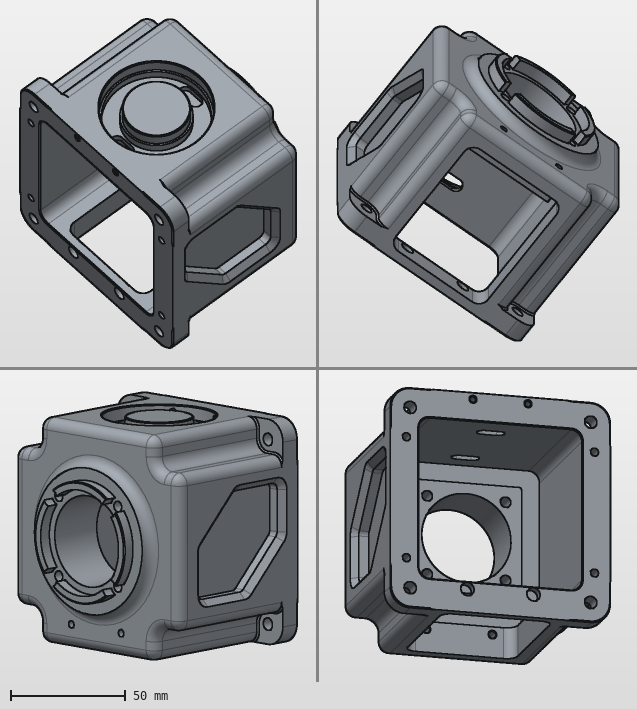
import cadquery as cq
import math

SIZE = 100.0
HALF = SIZE / 2
BODY_DEPTH = 75.0
EDGE_BREAK = 0.5
BEVEL_ANGLE = 45.0

FLANGE_DEPTH = 9.5
FLANGE_CORNER_RADIUS = 9.0
FLANGE_ROOT = 0.8
CLEARANCE_HOLE_DIAMETER = 5.5
CLEARANCE_HOLE_OFFSET = HALF - FLANGE_CORNER_RADIUS
TAPPED_HOLE_DIAMETER = 3.6
TAPPED_HOLE_DEPTH = 10.0
TAPPED_HOLE_X = 42.7
TAPPED_HOLE_Z = 27.5
DRILL_POINT_ANGLE = 118.0

NOTCH_RADIUS = 6.0
BODY_EDGE_RADIUS = 5.0
NOTCH_FLAT = CLEARANCE_HOLE_OFFSET - NOTCH_RADIUS
BACK_EDGE_FILLET = 5.0

CAVITY_HALF_WIDTH = 37.0
CAVITY_CEILING = 37.0
CAVITY_FLOOR = -36.0
CAVITY_DEPTH = 67.0
CAVITY_CORNER_RADIUS = 5.0

PAD_WIDTH = 50.0
PAD_FRONT = 53.5
PAD_CORNER_RADIUS = 1.0
REAR_BORE_DIAMETER = 40.5

BOSS_RADIUS = 32.5
BOSS_BACK = 80.0
BOSS_FILLET = BOSS_BACK - BODY_DEPTH
BOSS_OVERLAP = 1.0
RING_BACK = 85.5
RING_OUTER_RADIUS = 27.0
RING_INNER_RADIUS = 23.5
BOLT_HOLE_DIAMETER = 4.7
BOLT_HEAD_DIAMETER = 8.0
BOLT_HOLE_OFFSET = 17.8

RECESS_Y = 35.2
RECESS_MOUTH_RADIUS = 25.0
RECESS_MOUTH_CHAMFER = 0.5
RECESS_LOWER_RADIUS = 24.0
ISLAND_RADIUS = 15.0
ISLAND_BASE_RADIUS = 16.0
ISLAND_TOP = 49.5
ISLAND_CHAMFER = 0.5
RECESS_STEP = 44.0
RECESS_FLOOR = 40.0
SLOT_LENGTH = 12.6
SLOT_WIDTH = 6.0
SLOT_OFFSET = (RECESS_LOWER_RADIUS + ISLAND_BASE_RADIUS) / 2

TOP_SCREW_X = 12.5
TOP_SCREW_Z = 47.0
TOP_SCREW_DIAMETER = 2.5
TOP_SCREW_CHAMFER = 0.5
TOP_SCREW_DEPTH = RECESS_Y - ISLAND_RADIUS

WINDOW_WIDTH = 50.0
WINDOW_FRONT = 4.5
WINDOW_BACK = 64.5
WINDOW_CORNER_RADIUS = 5.0
FLOOR_SCREW_X = 15.0
FLOOR_SCREW_Z = -39.5
FLOOR_ACCESS_DIAMETER = 6.0
FLOOR_SCREW_DIAMETER = 3.2
FLOOR_SCREW_CHAMFER = 0.3

POCKET_Y = 35.0
POCKET_HALF_LENGTH = 25.0
POCKET_HALF_HEIGHT = 22.7
POCKET_DIAGONAL = 17.9
POCKET_CORNER_RADIUS = 3.0
POCKET_CHAMFER = 3.0
POCKET_DEPTH = 7.5


def facing_back(y):
    """Workplane at depth y whose normal points to +Y; the part is left-right symmetric."""
    return cq.Workplane("XZ", origin=(0, y, 0)).transformed(rotate=(0, 180, 0))


def facing_up(z):
    """Workplane at height z, centred on the top recess."""
    return cq.Workplane("XY", origin=(0, RECESS_Y, z))


def grid(x, z):
    """Four points mirrored about both centre lines."""
    return [(sx * x, sz * z) for sx in (-1, 1) for sz in (-1, 1)]


def make_flange_blank(depth):
    blank = facing_back(0).rect(SIZE, SIZE).extrude(depth)
    return blank.edges("|Y").fillet(FLANGE_CORNER_RADIUS)


def make_flange():
    return make_flange_blank(FLANGE_DEPTH).faces("<Y").chamfer(EDGE_BREAK)


def make_body():
    """Straight body with convex corners and a scoop around each flange hole."""
    straight = HALF - BODY_EDGE_RADIUS
    side_end = NOTCH_FLAT - BODY_EDGE_RADIUS
    mid = math.sqrt(0.5)
    edge_mid = BODY_EDGE_RADIUS * mid
    notch_mid = CLEARANCE_HOLE_OFFSET - NOTCH_RADIUS * mid
    quarter = (
        facing_back(0)
        .lineTo(0, HALF)
        .lineTo(side_end, HALF)
        .threePointArc((side_end + edge_mid, straight + edge_mid), (NOTCH_FLAT, straight))
        .lineTo(NOTCH_FLAT, CLEARANCE_HOLE_OFFSET)
        .threePointArc((notch_mid, notch_mid), (CLEARANCE_HOLE_OFFSET, NOTCH_FLAT))
        .lineTo(straight, NOTCH_FLAT)
        .threePointArc((straight + edge_mid, side_end + edge_mid), (HALF, side_end))
        .lineTo(HALF, 0)
        .close()
        .extrude(BODY_DEPTH)
    )
    half = quarter.union(quarter.mirror("YZ"))
    return half.union(half.mirror("XY")).clean()


def make_flange_roots(straight_body):
    """Sloped blend in the four scooped corners where the body meets the flange."""
    slope = (
        straight_body.faces("<Y").wires().toPending().offset2D(FLANGE_ROOT)
        .extrude(FLANGE_ROOT, taper=BEVEL_ANGLE).translate((0, FLANGE_DEPTH, 0))
    )
    return slope.intersect(make_flange_blank(FLANGE_DEPTH + FLANGE_ROOT))


def make_boss():
    flare = BOSS_RADIUS + BOSS_FILLET
    arc_offset = BOSS_FILLET * (1 - math.sqrt(0.5))
    return (
        cq.Workplane("XY")
        .moveTo(0, BODY_DEPTH - BOSS_OVERLAP)
        .lineTo(flare, BODY_DEPTH - BOSS_OVERLAP)
        .lineTo(flare, BODY_DEPTH)
        .threePointArc(
            (BOSS_RADIUS + arc_offset, BODY_DEPTH + arc_offset), (BOSS_RADIUS, BOSS_BACK)
        )
        .lineTo(0, BOSS_BACK)
        .close()
        .revolve(360, (0, 0, 0), (0, 1, 0))
    )


def make_ring():
    """Pilot ring on the boss, interrupted by clearance for four bolt heads."""
    ring = facing_back(BOSS_BACK).circle(RING_OUTER_RADIUS).extrude(RING_BACK - BOSS_BACK)
    ring = ring.faces(">Y").chamfer(EDGE_BREAK)
    ring = ring.cut(facing_back(BOSS_BACK).circle(RING_INNER_RADIUS).extrude(RING_BACK - BOSS_BACK))
    heads = (
        facing_back(BOSS_BACK)
        .pushPoints(grid(BOLT_HOLE_OFFSET, BOLT_HOLE_OFFSET))
        .circle(BOLT_HEAD_DIAMETER / 2)
        .extrude(RING_BACK - BOSS_BACK)
    )
    return ring.cut(heads)


def make_cavity():
    """Cavity with a bevelled mouth, leaving the square pad standing on its back wall."""
    height = CAVITY_CEILING - CAVITY_FLOOR
    middle = (CAVITY_CEILING + CAVITY_FLOOR) / 2
    cavity = facing_back(0).center(0, middle).rect(2 * CAVITY_HALF_WIDTH, height).extrude(CAVITY_DEPTH)
    cavity = cavity.edges("|Y").fillet(CAVITY_CORNER_RADIUS)
    mouth = (
        cavity.faces("<Y").wires().toPending().offset2D(EDGE_BREAK).extrude(EDGE_BREAK, taper=BEVEL_ANGLE)
    )
    pad = facing_back(PAD_FRONT).rect(PAD_WIDTH, PAD_WIDTH).extrude(CAVITY_DEPTH - PAD_FRONT)
    pad = pad.edges("|Y").fillet(PAD_CORNER_RADIUS)
    return cavity.union(mouth).cut(pad)


def make_window():
    bottom = -HALF
    window = cq.Workplane("XY").box(
        WINDOW_WIDTH, WINDOW_BACK - WINDOW_FRONT, CAVITY_FLOOR - bottom, centered=(True, False, False)
    )
    return window.edges("|Z").fillet(WINDOW_CORNER_RADIUS).translate((0, WINDOW_FRONT, bottom))


def make_recess():
    """Annular recess around an island, with two slots down into the cavity."""
    upper = facing_up(RECESS_STEP).circle(RECESS_MOUTH_RADIUS).extrude(HALF - RECESS_STEP)
    mouth_rim = RECESS_MOUTH_RADIUS + RECESS_MOUTH_CHAMFER
    mouth = facing_up(HALF).circle(mouth_rim).extrude(-RECESS_MOUTH_CHAMFER, taper=BEVEL_ANGLE)
    lower = facing_up(RECESS_FLOOR).circle(RECESS_LOWER_RADIUS).extrude(RECESS_STEP - RECESS_FLOOR)
    island = facing_up(RECESS_FLOOR).circle(ISLAND_RADIUS).extrude(ISLAND_TOP - RECESS_FLOOR)
    island = island.faces(">Z").chamfer(ISLAND_CHAMFER)
    base = facing_up(RECESS_FLOOR).circle(ISLAND_BASE_RADIUS).extrude(RECESS_STEP - RECESS_FLOOR)
    slots = (
        facing_up(CAVITY_CEILING)
        .pushPoints([(0, -SLOT_OFFSET), (0, SLOT_OFFSET)])
        .slot2D(SLOT_LENGTH, SLOT_WIDTH)
        .extrude(RECESS_FLOOR - CAVITY_CEILING)
    )
    return upper.union(mouth).union(lower).cut(island).cut(base).union(slots)


def make_side_pocket():
    """Pocket in the -X side: a rectangle with two opposite corners cut at 45 degrees."""
    length = POCKET_HALF_LENGTH
    height = POCKET_HALF_HEIGHT
    cut_y = POCKET_DIAGONAL * math.sqrt(2) - height
    cut_z = POCKET_DIAGONAL * math.sqrt(2) - length
    outline = [
        (length, -height), (length, cut_z), (cut_y, height),
        (-length, height), (-length, -cut_z), (-cut_y, -height),
    ]
    side = cq.Workplane("YZ", origin=(-HALF, POCKET_Y, 0))
    pocket = side.polyline(outline).close().extrude(POCKET_DEPTH)
    pocket = pocket.edges("|X").fillet(POCKET_CORNER_RADIUS)
    bevel = (
        pocket.faces("<X").wires().toPending().offset2D(POCKET_CHAMFER)
        .extrude(POCKET_CHAMFER, taper=BEVEL_ANGLE)
    )
    return pocket.union(bevel)


def hole(x, z, diameter, start, end, chamfer=0):
    """Round hole along Y from start to end, with an optional chamfer at its start."""
    radius = diameter / 2
    tool = cq.Solid.makeCylinder(radius, end - start, cq.Vector(x, start, z), cq.Vector(0, 1, 0))
    if chamfer:
        cone = cq.Solid.makeCone(
            radius + chamfer, radius, chamfer, cq.Vector(x, start, z), cq.Vector(0, 1, 0)
        )
        tool = tool.fuse(cone)
    return tool


def drilled_hole(x, z, diameter, depth):
    """Blind hole from the flange face, ending in a drill point."""
    radius = diameter / 2
    point = radius / math.tan(math.radians(DRILL_POINT_ANGLE / 2))
    tip = cq.Solid.makeCone(radius, 0, point, cq.Vector(x, depth, z), cq.Vector(0, 1, 0))
    return hole(x, z, diameter, 0, depth).fuse(tip)


def cut_holes(part):
    part = part.cut(cq.Workplane(hole(0, 0, REAR_BORE_DIAMETER, PAD_FRONT, BOSS_BACK)))
    for x, z in grid(CLEARANCE_HOLE_OFFSET, CLEARANCE_HOLE_OFFSET):
        part = part.cut(cq.Workplane(hole(x, z, CLEARANCE_HOLE_DIAMETER, 0, FLANGE_DEPTH)))
    for x, z in grid(TAPPED_HOLE_X, TAPPED_HOLE_Z):
        part = part.cut(cq.Workplane(drilled_hole(x, z, TAPPED_HOLE_DIAMETER, TAPPED_HOLE_DEPTH)))
    for x, z in grid(BOLT_HOLE_OFFSET, BOLT_HOLE_OFFSET):
        part = part.cut(cq.Workplane(hole(x, z, BOLT_HOLE_DIAMETER, PAD_FRONT, BOSS_BACK)))
    for side in (-1, 1):
        top_x = side * TOP_SCREW_X
        floor_x = side * FLOOR_SCREW_X
        top_screw = hole(
            top_x, TOP_SCREW_Z, TOP_SCREW_DIAMETER, 0, TOP_SCREW_DEPTH, TOP_SCREW_CHAMFER
        )
        access = hole(floor_x, FLOOR_SCREW_Z, FLOOR_ACCESS_DIAMETER, 0, WINDOW_FRONT)
        floor_screw = hole(
            floor_x, FLOOR_SCREW_Z, FLOOR_SCREW_DIAMETER, WINDOW_BACK, BODY_DEPTH, FLOOR_SCREW_CHAMFER
        )
        for tool in (top_screw, access, floor_screw):
            part = part.cut(cq.Workplane(tool))
    return part


straight_body = make_body()
body = straight_body.faces(">Y").edges().fillet(BACK_EDGE_FILLET)
shell = body.union(make_flange()).union(make_flange_roots(straight_body))
shell = shell.union(make_boss()).union(make_ring())
shell = shell.cut(make_cavity()).cut(make_window()).cut(make_recess())
pocket = make_side_pocket()
shell = shell.cut(pocket).cut(pocket.mirror("YZ"))
result = cut_holes(shell)